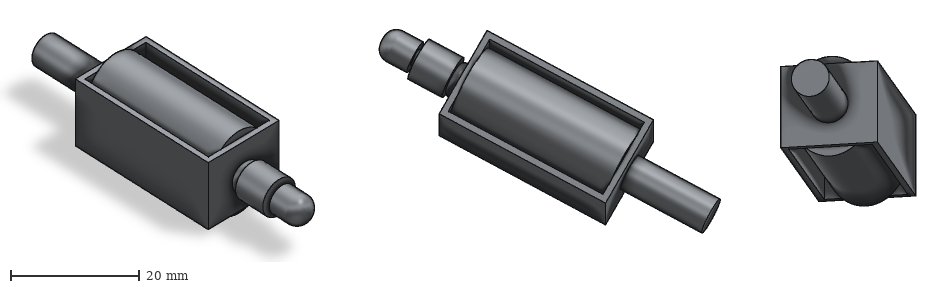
import cadquery as cq

total_length = 58.5
frame_length = 29.65
frame_width = 15.4
frame_height = 13.2
wall = 1.05

coil_height = 16.2

rod_diameter = 6.0
rod_projection = 14.5
neck_diameter = 3.0
collar_diameter = 7.1
collar_length = 6.1
groove_width = 0.65
tip_diameter = 5.45
tip_round = 2.15

ring_diameter = 6.0
ring_thickness = 1.8

window_length = frame_length - 2 * wall
window_width = frame_width - 2 * wall

frame_back = -frame_length / 2
frame_front = frame_length / 2
window_front = window_length / 2
rod_back = frame_back - rod_projection
tip_front = rod_back + total_length
collar_back = frame_front + ring_thickness
collar_front = collar_back + collar_length
tip_back = collar_front + groove_width


def cylinder_x(diameter, start, end):
    """Cylinder on the X axis between two stations."""
    return cq.Workplane("YZ", origin=(start, 0, 0)).circle(diameter / 2).extrude(end - start)


def make_frame():
    """Rectangular frame, open above and below, bored at both ends for the plunger."""
    frame = cq.Workplane("XY").box(frame_length, frame_width, frame_height)
    window = cq.Workplane("XY").box(window_length, window_width, frame_height)
    rod_hole = cylinder_x(rod_diameter, frame_back, 0)
    neck_hole = cylinder_x(neck_diameter, 0, frame_front)
    return frame.cut(window).cut(rod_hole).cut(neck_hole)


def make_coil():
    """Oval winding that fills the window and bulges above and below the frame."""
    winding = (
        cq.Workplane("YZ", origin=(-window_front, 0, 0))
        .ellipse(window_width / 2, coil_height / 2)
        .extrude(window_length)
    )
    return winding.cut(cylinder_x(rod_diameter, -window_front, window_front))


def make_plunger():
    """Rod through the coil, a thin neck, a collar and a rounded tip, all in one piece."""
    rod = cylinder_x(rod_diameter, rod_back, window_front)
    neck = cylinder_x(neck_diameter, window_front, tip_back)
    collar = cylinder_x(collar_diameter, collar_back, collar_front)
    tip = cylinder_x(tip_diameter, tip_back, tip_front).faces(">X").edges().fillet(tip_round)
    return rod.union(neck).union(collar).union(tip)


def make_ring():
    """Round-section cushion ring on the neck, between the frame and the collar."""
    tube_radius = ring_thickness / 2
    centre_radius = ring_diameter / 2 - tube_radius
    ring = (
        cq.Workplane("XY", origin=(frame_front + tube_radius, 0, 0))
        .center(0, centre_radius)
        .circle(tube_radius)
        .revolve(360, (0, -centre_radius, 0), (1, -centre_radius, 0))
    )
    return ring.cut(cylinder_x(neck_diameter, frame_front, collar_back))


frame = make_frame()
coil = make_coil()
plunger = make_plunger()
ring = make_ring()

bodies = [frame, coil, plunger, ring]
result = cq.Compound.makeCompound([body.solids().val() for body in bodies])